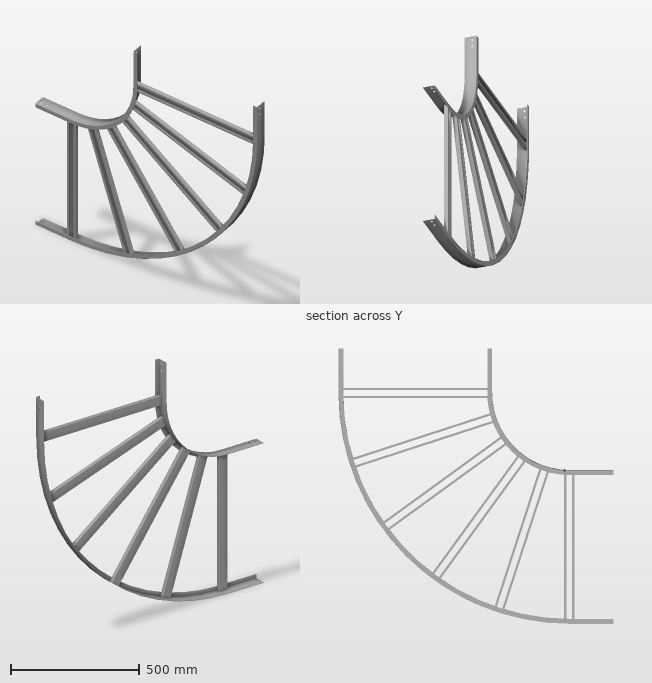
import cadquery as cq
import math

SIZE = 1073.0
DEPTH = 50.0
STRAIGHT = 173.0
BEND_ANGLE = 90
OUTER_RADIUS = SIZE - STRAIGHT
INNER_RADIUS = 300.0

SHEET = 2.0
FOLD_RADIUS = 2.7
FLANGE_WIDTH = 19.0

RUNG_COUNT = 6
RUNG_WIDTH = 40.0
RUNG_DEPTH = 17.0
RUNG_SHEET = 1.5
LIP_WIDTH = 9.0

SLOT_LENGTH = 11.0
SLOT_WIDTH = 8.0
SLOT_OFFSETS = (15.0, 45.0)
SLOT_HEIGHT = 19.0
LENGTHWISE_ANGLE = 90

FRONT = -DEPTH / 2
BEND_X = -SIZE / 2 + STRAIGHT
BEND_Z = SIZE / 2 - STRAIGHT


def angle_rail(web_radius, flange_side):
    """Folded angle section swept along a straight leg, a quarter bend and a straight leg.

    The outer web face lies at web_radius. The flange points away from the bend centre
    when flange_side is 1 and toward it when flange_side is -1.
    """

    def point(inset, height):
        return (FRONT + height, BEND_Z - web_radius - flange_side * inset)

    def fold_middle(radius):
        reach = FOLD_RADIUS - radius * math.sqrt(0.5)
        return point(reach, reach)

    section = (
        cq.Workplane("YZ", origin=(-SIZE / 2, 0, 0))
        .moveTo(*point(0, DEPTH))
        .lineTo(*point(0, FOLD_RADIUS))
        .threePointArc(fold_middle(FOLD_RADIUS), point(FOLD_RADIUS, 0))
        .lineTo(*point(FLANGE_WIDTH, 0))
        .lineTo(*point(FLANGE_WIDTH, SHEET))
        .lineTo(*point(FOLD_RADIUS, SHEET))
        .threePointArc(fold_middle(FOLD_RADIUS - SHEET), point(SHEET, FOLD_RADIUS))
        .lineTo(*point(SHEET, DEPTH))
        .close()
    )
    diagonal = web_radius * math.sqrt(0.5)
    path = (
        cq.Workplane("XZ")
        .moveTo(-SIZE / 2, BEND_Z - web_radius)
        .lineTo(BEND_X, BEND_Z - web_radius)
        .threePointArc((BEND_X + diagonal, BEND_Z - diagonal), (BEND_X + web_radius, BEND_Z))
        .lineTo(BEND_X + web_radius, SIZE / 2)
    )
    return section.sweep(path)


def rung(angle):
    """Channel opening forward behind the flanges, turned from the vertical about the bend centre."""
    front = FRONT + SHEET
    back = front + RUNG_DEPTH
    half = RUNG_WIDTH / 2
    opening = half - LIP_WIDTH
    profile = [
        (-opening, front),
        (-half, front),
        (-half, back),
        (half, back),
        (half, front),
        (opening, front),
        (opening, front + RUNG_SHEET),
        (half - RUNG_SHEET, front + RUNG_SHEET),
        (half - RUNG_SHEET, back - RUNG_SHEET),
        (RUNG_SHEET - half, back - RUNG_SHEET),
        (RUNG_SHEET - half, front + RUNG_SHEET),
        (-opening, front + RUNG_SHEET),
    ]
    start = INNER_RADIUS + SHEET / 2
    length = OUTER_RADIUS - SHEET / 2 - start
    return (
        cq.Workplane("XY")
        .polyline(profile)
        .close()
        .extrude(-length)
        .translate((0, 0, -start))
        .rotate((0, 0, 0), (0, 1, 0), -angle)
        .translate((BEND_X, 0, BEND_Z))
    )


def coupling_slots():
    """Slots that pass through both rails at each end of the bend."""
    y = FRONT + SLOT_HEIGHT
    across = cq.Workplane("XY", origin=(-SIZE / 2, y, -SIZE / 2))
    across = across.pushPoints([(offset, 0) for offset in SLOT_OFFSETS])
    across = across.slot2D(SLOT_LENGTH, SLOT_WIDTH).extrude(SIZE)
    upright = cq.Workplane("YZ", origin=(-SIZE / 2, y, SIZE / 2))
    upright = upright.pushPoints([(0, -offset) for offset in SLOT_OFFSETS])
    upright = upright.slot2D(SLOT_LENGTH, SLOT_WIDTH, LENGTHWISE_ANGLE).extrude(SIZE)
    return across.union(upright)


result = angle_rail(INNER_RADIUS, 1).union(angle_rail(OUTER_RADIUS, -1))
for index in range(RUNG_COUNT):
    result = result.union(rung(BEND_ANGLE * index / (RUNG_COUNT - 1)))
result = result.cut(coupling_slots())